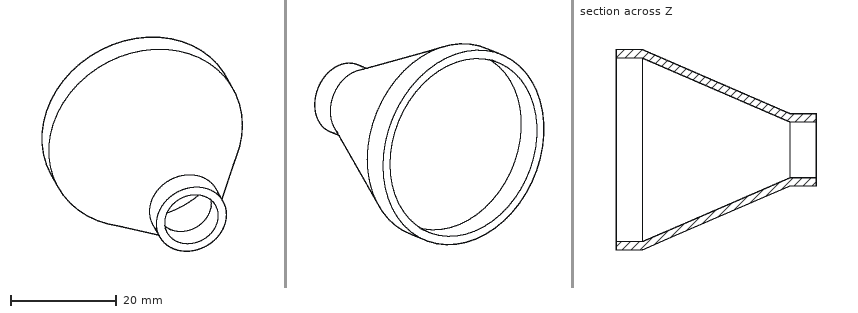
import cadquery as cq

large_outer_diameter = 38.1
large_inner_diameter = 34.8
small_outer_diameter = 13.8
small_inner_diameter = 10.5
collar_length = 5.0
cone_length = 28.0

cone_end = collar_length + cone_length
total_length = cone_end + collar_length


def reducer_solid(large_diameter, small_diameter):
    """Large collar, cone and small collar as one solid of revolution."""
    large_radius = large_diameter / 2
    small_radius = small_diameter / 2
    half_profile = [
        (0, 0),
        (0, large_radius),
        (collar_length, large_radius),
        (cone_end, small_radius),
        (total_length, small_radius),
        (total_length, 0),
    ]
    return cq.Workplane("XY").polyline(half_profile).close().revolve(360, (0, 0, 0), (1, 0, 0))


outer_body = reducer_solid(large_outer_diameter, small_outer_diameter)
bore = reducer_solid(large_inner_diameter, small_inner_diameter)

result = outer_body.cut(bore)